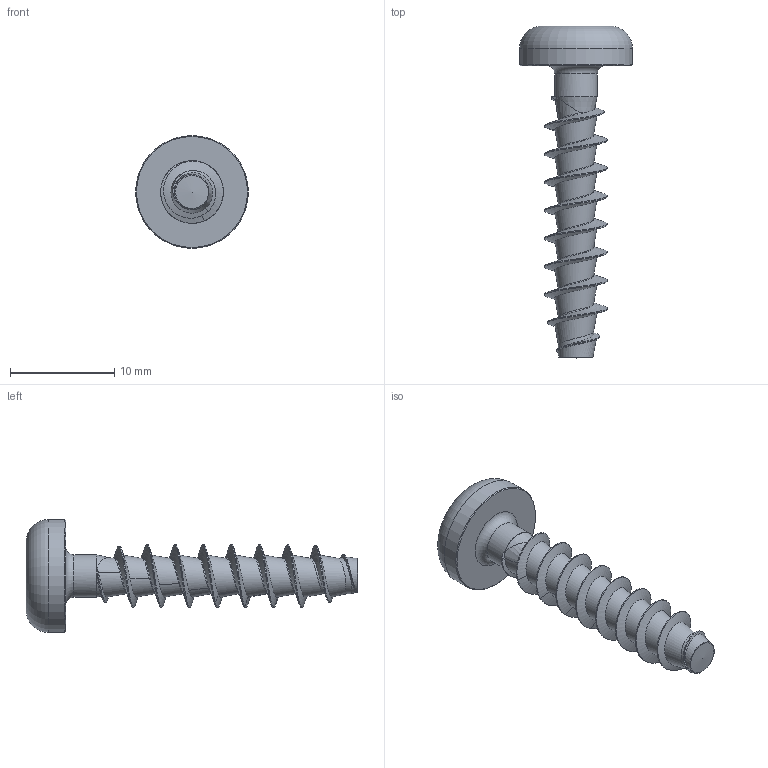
import cadquery as cq
import math


head_radius = 5.4
head_height = 3.79
head_dome_radius = 2.15
head_edge_chamfer = 0.08

shank_radius = 2.05
shank_length = 3.0
under_head_fillet = 0.8
tip_cone_height = 0.09
body_length = 28.0 - tip_cone_height
tip_radius = 1.58
tip_slope = 0.2

core_min_radius = 1.69
core_max_radius = 2.02
core_taper_gap = 0.46
core_taper_overrun = 0.01
core_neck_length = 1.5

pitch = 2.69
crest_radius = 3.0
crest_width = 0.1
min_thread_height = 0.03
flank_angle = 15.0
phase_depth = 1.75

run_in_radius = 2.3
run_in_end = 5.6
run_out_start = 23.8
run_out_slope = 0.335

helix_start = 0.2
helix_end = body_length + 0.5
helix_pieces = 10
points_per_piece = 36
root_radius = core_min_radius - 0.15


def core_radius_limit(depth, full_radius):
    """Core radius, narrowed where the tip cone is smaller."""
    tip_cone_radius = tip_radius + tip_slope * max(0, body_length - depth)
    return min(full_radius, tip_cone_radius)


def core_peak_radius_at(depth):
    return core_radius_limit(depth, core_max_radius)


def crest_radius_at(depth):
    run_in_slope = (crest_radius - run_in_radius) / (run_in_end - shank_length)
    growing = crest_radius - run_in_slope * (run_in_end - depth)
    fading = crest_radius - run_out_slope * (depth - run_out_start)
    return max(min(crest_radius, growing, fading), core_peak_radius_at(depth) + min_thread_height)


def helix_edge(corner, start, end):
    """Helix traced by a section corner, a function of depth giving (radius, offset)."""
    points = []
    for step in range(points_per_piece + 1):
        depth = start + (end - start) * step / points_per_piece
        radius, offset = corner(depth)
        angle = 2 * math.pi * (depth - phase_depth) / pitch
        points.append(cq.Vector(radius * math.cos(angle), -depth - offset, radius * math.sin(angle)))
    return cq.Edge.makeSpline(points)


def end_face(edge_points):
    return cq.Face.makeFromWires(cq.Wire.makePolygon(edge_points, close=True))


def helical_solid(corners):
    """Solid swept along the screw axis by a section with the given corners."""
    piece_length = (helix_end - helix_start) / helix_pieces
    faces = []
    for piece in range(helix_pieces):
        start = helix_start + piece * piece_length
        edges = [helix_edge(corner, start, start + piece_length) for corner in corners]
        for index, edge in enumerate(edges):
            faces.append(cq.Face.makeRuledSurface(edges[index - 1], edge))
        if piece == 0:
            faces.append(end_face([edge.startPoint() for edge in edges]))
    faces.append(end_face([edge.endPoint() for edge in edges]))
    return cq.Workplane(cq.Solid.makeSolid(cq.Shell.makeShell(faces)).fix())


def revolve_about_axis(profile):
    return profile.close().revolve(360, (0, 0, 0), (0, 1, 0))


def make_head_and_shank():
    flat_radius = head_radius - head_dome_radius
    dome_start = head_height - head_dome_radius
    diagonal = head_dome_radius * math.sqrt(0.5)
    fillet_outer = shank_radius + under_head_fillet
    fillet_reach = under_head_fillet * (1 - math.sqrt(0.5))
    profile = (
        cq.Workplane("XY")
        .moveTo(0, head_height)
        .lineTo(flat_radius, head_height)
        .threePointArc((flat_radius + diagonal, dome_start + diagonal), (head_radius, dome_start))
        .lineTo(head_radius, head_edge_chamfer)
        .lineTo(head_radius - head_edge_chamfer, 0)
        .lineTo(fillet_outer, 0)
        .threePointArc((shank_radius + fillet_reach, -fillet_reach), (shank_radius, -under_head_fillet))
        .lineTo(shank_radius, -shank_length)
        .lineTo(0, -shank_length)
    )
    return revolve_about_axis(profile)


def make_core_cylinder():
    """Slim core under the helical body, narrowed to the tip radius at its end."""
    narrowing = (core_min_radius - tip_radius) / tip_slope
    profile = (
        cq.Workplane("XY")
        .lineTo(core_min_radius, 0)
        .lineTo(core_min_radius, -body_length + narrowing)
        .lineTo(tip_radius, -body_length)
        .lineTo(tip_radius, -helix_end - pitch)
        .lineTo(0, -helix_end - pitch)
    )
    return revolve_about_axis(profile)


def make_threaded_body():
    """Thread blade followed by the taper of the saw-tooth core, in one section."""
    half_crest = crest_width / 2
    flank_slope = math.tan(math.radians(flank_angle))
    taper_end = pitch - core_taper_gap

    def upper_root(depth):
        return (root_radius, -half_crest - (crest_radius_at(depth) - root_radius) * flank_slope)

    def upper_crest(depth):
        return (crest_radius_at(depth), -half_crest)

    def lower_crest(depth):
        return (crest_radius_at(depth), half_crest)

    def flank_foot(depth):
        radius = core_peak_radius_at(depth)
        return (radius, half_crest + (crest_radius_at(depth) - radius) * flank_slope)

    def taper_foot(depth):
        radius = core_radius_limit(depth + pitch, core_min_radius)
        return (radius - core_taper_overrun, taper_end)

    def lower_root(depth):
        return (root_radius, taper_end)

    return helical_solid([upper_root, upper_crest, lower_crest, flank_foot, taper_foot, lower_root])


def make_thread_limit():
    """Envelope from the shank end to the tip face, with its shallow cone."""
    outer_radius = 2 * crest_radius
    profile = (
        cq.Workplane("XY")
        .moveTo(0, -shank_length)
        .lineTo(outer_radius, -shank_length)
        .lineTo(outer_radius, -body_length)
        .lineTo(tip_radius, -body_length)
        .lineTo(0, -body_length - tip_cone_height)
    )
    return revolve_about_axis(profile)


def make_core_neck():
    neck_end = shank_length + core_neck_length
    profile = (
        cq.Workplane("XY")
        .moveTo(0, -shank_length)
        .lineTo(core_max_radius, -shank_length)
        .lineTo(core_min_radius, -neck_end)
        .lineTo(0, -neck_end)
    )
    return revolve_about_axis(profile)


core = make_core_cylinder().union(make_threaded_body()).intersect(make_thread_limit())
result = make_head_and_shank().union(make_core_neck()).union(core)